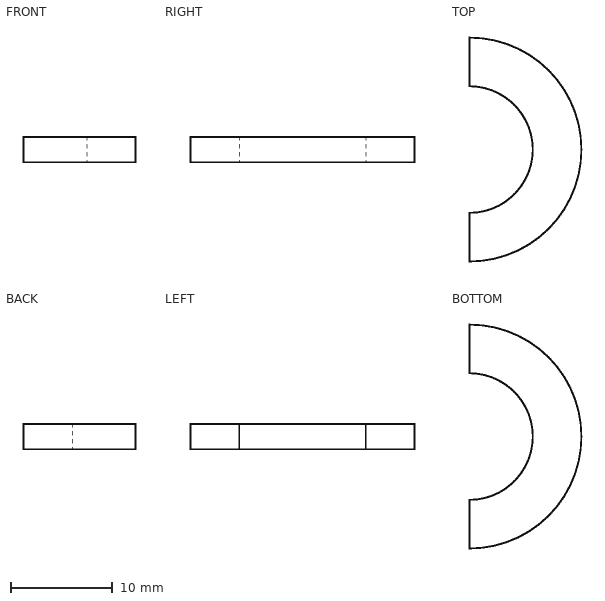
import cadquery as cq

outer_diameter = 22.0
inner_diameter = 12.4
thickness = 2.5

outer_radius = outer_diameter / 2
inner_radius = inner_diameter / 2

result = (
    cq.Workplane("XY")
    .moveTo(0, -outer_radius)
    .threePointArc((outer_radius, 0), (0, outer_radius))
    .lineTo(0, inner_radius)
    .threePointArc((inner_radius, 0), (0, -inner_radius))
    .close()
    .extrude(thickness)
)